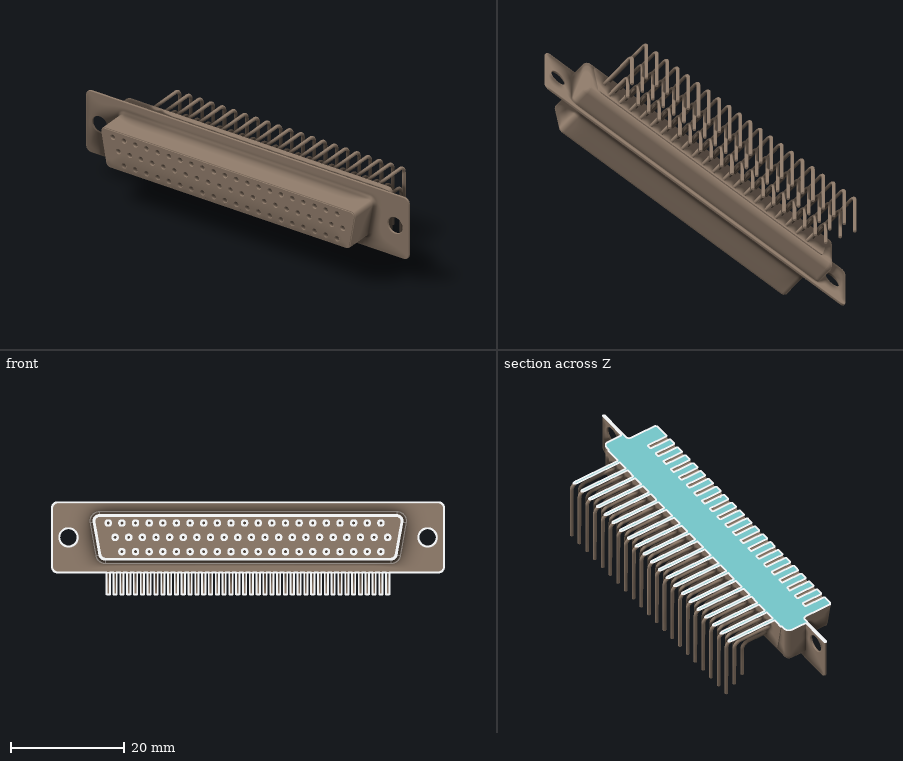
import cadquery as cq
import math


flange_length = 69.4
flange_height = 12.5
flange_thickness = 0.4
flange_corner_radius = 1.1
flange_edge_round = 0.105
mount_hole_diameter = 3.2
mount_hole_spacing = 63.5

shell_projection = 5.9
shell_height = 7.9
shell_top_width = 54.7
shell_side_angle = 10.0
shell_corner_radius = 1.05
shell_root_fillet = 0.6
shell_front_round = 0.105

housing_depth = 3.95
housing_width = 57.45
housing_height = 10.0
housing_corner_radius = 1.1
housing_back_fillet = 1.05

insulator_projection = 0.2
insulator_front_inset = 0.2
insulator_back_inset = 0.35

long_row_count = 21
contact_span = 49.4
row_span = 5.1
socket_diameter = 0.8
socket_mouth_chamfer = 0.105
socket_depth = 4.15
pin_diameter = 0.64
pin_end_chamfer = 0.105
pin_bend_radius = 1.25
first_tail_y = 9.45
tail_end_z = -10.1
pin_embed = 0.35

flange_front_y = -flange_thickness / 2
flange_back_y = flange_thickness / 2
shell_front_y = flange_front_y - shell_projection
housing_back_y = flange_back_y + housing_depth
insulator_front_y = shell_front_y - insulator_projection
insulator_back_y = housing_back_y + insulator_projection

contact_pitch = contact_span / (long_row_count - 0.5)
row_pitch = row_span / 2
top_row_start = -contact_span / 2

contact_rows = [
    (row_pitch, first_tail_y + 2 * row_pitch, top_row_start, long_row_count),
    (0.0, first_tail_y + row_pitch, top_row_start + contact_pitch / 2, long_row_count),
    (-row_pitch, first_tail_y, top_row_start + contact_pitch, long_row_count - 1),
]


def facing_front(y):
    """XZ sketch plane at the given Y; extruding goes toward -Y."""
    return cq.Workplane("XZ", origin=(0, y, 0))


def make_flange():
    plate = (
        facing_front(flange_back_y)
        .rect(flange_length, flange_height)
        .extrude(flange_thickness)
        .edges("|Y")
        .fillet(flange_corner_radius)
    )
    holes = (
        facing_front(flange_back_y)
        .pushPoints([(-mount_hole_spacing / 2, 0), (mount_hole_spacing / 2, 0)])
        .circle(mount_hole_diameter / 2)
        .extrude(flange_thickness)
    )
    return plate.cut(holes).faces("<Y or >Y").edges().fillet(flange_edge_round)


def make_housing():
    return (
        facing_front(housing_back_y)
        .rect(housing_width, housing_height)
        .extrude(housing_depth)
        .edges("|Y")
        .fillet(housing_corner_radius)
        .faces(">Y")
        .edges()
        .fillet(housing_back_fillet)
    )


def make_d_block(back_y, depth, inset=0.0):
    """Block with the D outline of the shell, shrunk all round by the inset."""
    slope = math.radians(shell_side_angle)
    corner_radius = shell_corner_radius - inset
    half_height = shell_height / 2 - inset
    arc_centre_x = shell_top_width / 2 - shell_corner_radius
    top_half = arc_centre_x + corner_radius * math.tan((math.pi / 2 + slope) / 2)
    bottom_half = top_half - 2 * half_height * math.tan(slope)
    return (
        facing_front(back_y)
        .polyline([
            (-top_half, half_height),
            (top_half, half_height),
            (bottom_half, -half_height),
            (-bottom_half, -half_height),
        ])
        .close()
        .extrude(depth)
        .edges("|Y")
        .fillet(corner_radius)
    )


def add_root_fillet(body):
    """Round the inside corner where the shell rises from the flange."""
    reach = 2 * shell_root_fillet
    tolerance = 0.01
    root_edges = cq.selectors.BoxSelector(
        (-shell_top_width / 2 - reach, flange_front_y - tolerance, -shell_height / 2 - reach),
        (shell_top_width / 2 + reach, flange_front_y + tolerance, shell_height / 2 + reach),
    )
    return body.edges(root_edges).fillet(shell_root_fillet)


def make_pin(x, row_z, tail_y):
    """Round pin running back from the housing, then bent down into a solder tail."""
    start_y = housing_back_y - pin_embed
    diagonal = pin_bend_radius * math.sqrt(0.5)
    bend_y = tail_y - pin_bend_radius
    bend_z = row_z - pin_bend_radius
    path = (
        cq.Workplane("YZ", origin=(x, 0, 0))
        .moveTo(start_y, row_z)
        .lineTo(bend_y, row_z)
        .threePointArc((bend_y + diagonal, bend_z + diagonal), (tail_y, bend_z))
        .lineTo(tail_y, tail_end_z)
    )
    return (
        cq.Workplane("XZ", origin=(x, start_y, row_z))
        .circle(pin_diameter / 2)
        .sweep(path)
        .faces("<Z")
        .edges()
        .chamfer(pin_end_chamfer)
        .val()
    )


def make_sockets():
    """Blind contact bores with chamfered mouths, as a list of solids to cut."""
    centres = [
        (start_x + i * contact_pitch, row_z)
        for row_z, _, start_x, count in contact_rows
        for i in range(count)
    ]
    bores = (
        facing_front(insulator_front_y + socket_depth)
        .pushPoints(centres)
        .circle(socket_diameter / 2)
        .extrude(socket_depth)
    )
    mouth_radius = socket_diameter / 2 + socket_mouth_chamfer
    mouth = cq.Solid.makeCone(
        mouth_radius,
        socket_diameter / 2,
        socket_mouth_chamfer,
        pnt=cq.Vector(0, insulator_front_y, 0),
        dir=cq.Vector(0, 1, 0),
    )
    mouths = [mouth.translate(cq.Vector(x, 0, z)) for x, z in centres]
    return bores.vals() + mouths


shell = make_d_block(flange_front_y, shell_projection)
shell = shell.faces("<Y").edges().fillet(shell_front_round)
insulator_front = make_d_block(shell_front_y, insulator_projection, insulator_front_inset)
insulator_back = make_d_block(insulator_back_y, insulator_projection, insulator_back_inset)

body = add_root_fillet(make_flange().union(shell))
body = body.union(make_housing()).union(insulator_front).union(insulator_back)
body = body.val().cut(*make_sockets())

pins = []
for row_z, tail_y, start_x, count in contact_rows:
    first_pin = make_pin(start_x, row_z, tail_y)
    pins += [first_pin.translate(cq.Vector(i * contact_pitch, 0, 0)) for i in range(count)]

result = cq.Workplane(body.fuse(*pins))